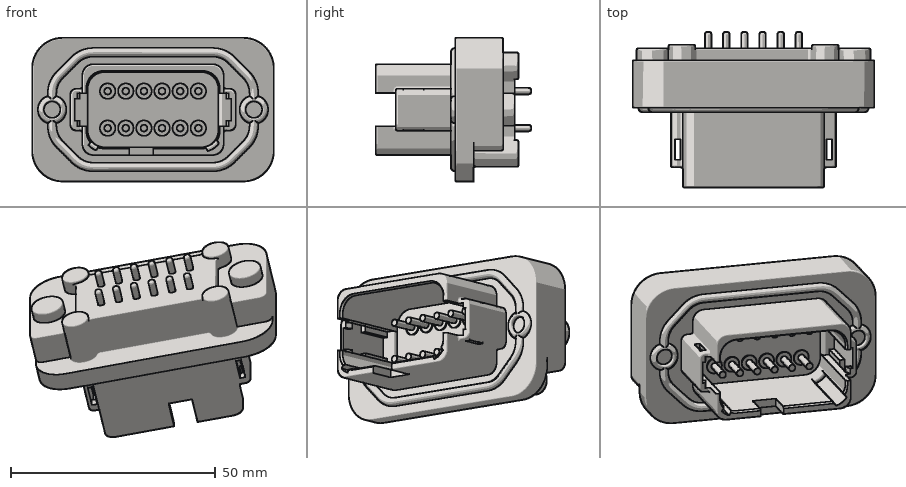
import cadquery as cq
import math

JOINT_MARGIN = 0.005

FLANGE_WIDTH = 59.2
FLANGE_HEIGHT = 35.2
FLANGE_CORNER = 7.5
FLANGE_THICKNESS = 4.5
BODY_DEPTH = 11.7
BODY_BOTTOM = -10.0
BODY_BOTTOM_ROUND = 1.9
FLANGE_EDGE = 0.35

SHROUD_WIDTH = 34.6
SHROUD_HEIGHT = 22.25
SHROUD_LENGTH = 19.5
SHROUD_CORNER = 2.7
SHROUD_EDGE = 0.4
CAVITY_WIDTH = 31.95
CAVITY_HEIGHT = 18.35
CAVITY_CORNER = 4.0
CAVITY_FLOOR = 2.35
LEAD_IN_SETBACK = 0.35
LEAD_IN_LENGTH = 0.7

KEY_SLOT_WIDTH = 5.85
KEY_SLOT_CENTER = -2.9
KEY_SLOT_LENGTH = 6.75

GROOVE_END = -1.9
GROOVE_RADIUS = 5.2
GROOVE_DIRECTION = 55.0
GROOVE_LIP_ROUND = 0.6
LEFT_GROOVE_WIDTH = 2.25
RIGHT_GROOVE_WIDTH = 3.3

EAR_REACH = 20.25
EAR_HEIGHT = 10.3
EAR_LENGTH = 14.55
EAR_CORNER = 1.55
EAR_EDGE = 0.55
EAR_WALL = 1.05
LATCH_OPENING = 8.05
LATCH_RELIEF = 5.3
LATCH_RAIL_X = 17.9
LATCH_RAMP = 0.65
LATCH_SILL = 0.9
LATCH_SILL_ROUND = 0.9
WINDOW_FRONT = -12.65
WINDOW_BACK = -7.7

BEAD_RADIUS = 1.05
BEAD_HALF_HEIGHT = 14.05
BEAD_BEVEL = 7.4
BEAD_BEND = 6.3
RING_RADIUS = 2.4
RING_HOLE_RADIUS = 2.0

HOUSING_BACK = 14.6
HOUSING_EDGE = 0.35
POST_X = 17.5
POST_Z = 10.7
POST_RADIUS = 3.3
POST_BACK = 15.5
POST_BLEND = 1.0
POST_TIP_ROUND = 0.55
POST_FOOT_ROUND = 0.3
SIDE_BOSS_X = 24.7
SIDE_BOSS_RADIUS = 3.95

PIN_COLUMNS = 6
PIN_ROWS = 2
PIN_PITCH_X = 4.45
PIN_PITCH_Z = 9.05
PIN_RADIUS = 0.8
PIN_FRONT = -4.75
PIN_BACK = 18.65
PIN_TIP_ROUND = 0.7
COLLAR_RADIUS = 1.9
COLLAR_HEIGHT = 0.3


def section(y):
    """Workplane at depth y: local x is X, local y is Z, extruding toward -Y."""
    return cq.Workplane("XZ", origin=(0, y, 0))


def box(x_range, y_range, z_range):
    """Axis-aligned box from its limits."""
    size = [high - low for low, high in (x_range, y_range, z_range)]
    corner = (x_range[0], y_range[0], z_range[0])
    return cq.Workplane("XY", origin=corner).box(*size, centered=False)


def rounded_block(width, height, corner, front, back):
    """Rectangular block along Y with rounded long edges."""
    return section(back).rect(width, height).extrude(back - front).edges("|Y").fillet(corner)


def rear_cylinder(x, z, radius, back):
    """Cylinder standing on the flange with a rounded rear rim."""
    cylinder = section(back).center(x, z).circle(radius).extrude(back - FLANGE_THICKNESS / 2)
    return cylinder.faces(">Y").edges().fillet(POST_TIP_ROUND)


def make_flange():
    """Full-height front plate with a thicker body that stops short of the bottom."""
    outline = rounded_block(FLANGE_WIDTH, FLANGE_HEIGHT, FLANGE_CORNER, 0, BODY_DEPTH)
    upper = box(
        (-FLANGE_WIDTH / 2, FLANGE_WIDTH / 2),
        (0, BODY_DEPTH),
        (BODY_BOTTOM, FLANGE_HEIGHT / 2),
    )
    upper = upper.edges("|Y and <Z").fillet(BODY_BOTTOM_ROUND)
    body = outline.intersect(upper).faces(">Y").edges().fillet(FLANGE_EDGE)
    plate = rounded_block(FLANGE_WIDTH, FLANGE_HEIGHT, FLANGE_CORNER, 0, FLANGE_THICKNESS)
    plate = plate.faces("<Y").edges().fillet(FLANGE_EDGE)
    body = body.intersect(box(
        (-FLANGE_WIDTH, FLANGE_WIDTH),
        (FLANGE_THICKNESS / 2, BODY_DEPTH),
        (-FLANGE_HEIGHT, FLANGE_HEIGHT),
    ))
    return plate.union(body)


def make_bead():
    """Half-round sealing bead around the shroud, with a ring at each side."""
    loop = section(0).rect(2 * SIDE_BOSS_X, 2 * BEAD_HALF_HEIGHT).extrude(BEAD_RADIUS)
    loop = loop.edges("|Y").chamfer(BEAD_BEVEL).edges("|Y").fillet(BEAD_BEND)
    path = loop.faces(">Y").wires()
    bead = cq.Workplane("YZ", origin=(0, 0, BEAD_HALF_HEIGHT)).circle(BEAD_RADIUS).sweep(path)
    for x in (-SIDE_BOSS_X, SIDE_BOSS_X):
        torus = cq.Workplane(
            cq.Solid.makeTorus(RING_RADIUS, BEAD_RADIUS, cq.Vector(x, 0, 0), cq.Vector(0, 1, 0)))
        core = section(0).center(x, 0).circle(RING_RADIUS).extrude(BEAD_RADIUS)
        over_core = section(0).center(x, 0).circle(RING_RADIUS).extrude(2 * BEAD_RADIUS)
        hole = section(0).center(x, 0).circle(RING_HOLE_RADIUS).extrude(BEAD_RADIUS)
        rim = core.cut(hole).faces("<Y").edges(cq.selectors.RadiusNthSelector(0))
        rim = rim.fillet(RING_RADIUS - RING_HOLE_RADIUS - JOINT_MARGIN)
        bead = bead.union(torus).cut(over_core).union(rim)
    return bead


def make_shroud():
    """Outer shroud with a latch ear on each side."""
    shroud = rounded_block(
        SHROUD_WIDTH, SHROUD_HEIGHT, SHROUD_CORNER, -SHROUD_LENGTH, FLANGE_THICKNESS / 2)
    shroud = shroud.faces("<Y").edges().fillet(SHROUD_EDGE)
    ears = rounded_block(2 * EAR_REACH, EAR_HEIGHT, EAR_CORNER, -EAR_LENGTH, FLANGE_THICKNESS / 2)
    ears = ears.faces("<Y").edges().fillet(EAR_EDGE)
    shroud = shroud.union(ears)
    for side in (-1, 1):
        wall_x = side * SHROUD_WIDTH / 2
        joint = cq.selectors.BoxSelector(
            (wall_x - JOINT_MARGIN, -EAR_LENGTH - JOINT_MARGIN, -EAR_HEIGHT / 2 - JOINT_MARGIN),
            (wall_x + JOINT_MARGIN, FLANGE_THICKNESS, EAR_HEIGHT / 2 + JOINT_MARGIN),
        )
        shroud = shroud.edges(joint).fillet(EAR_EDGE)
    return shroud


def round_lip(space, middle, radius):
    """Round the single edge whose middle is at the given point."""
    low = tuple(value - JOINT_MARGIN for value in middle)
    high = tuple(value + JOINT_MARGIN for value in middle)
    return space.edges(cq.selectors.BoxSelector(low, high)).fillet(radius)


def make_cavity():
    """Inside of the shroud, with a flared mouth."""
    cavity = rounded_block(
        CAVITY_WIDTH, CAVITY_HEIGHT, CAVITY_CORNER, -SHROUD_LENGTH, CAVITY_FLOOR)
    mouth = cq.Sketch().rect(CAVITY_WIDTH, CAVITY_HEIGHT).vertices().fillet(CAVITY_CORNER)
    flare_angle = math.degrees(math.atan2(LEAD_IN_SETBACK, LEAD_IN_LENGTH))
    flare = section(LEAD_IN_LENGTH - SHROUD_LENGTH).placeSketch(mouth)
    return cavity.union(flare.extrude(LEAD_IN_LENGTH, taper=-flare_angle))


def cut_corner_groove(space, side, width):
    """Add a polarizing groove, from the mouth inward, to a lower corner of the cavity."""
    center_x = side * (CAVITY_WIDTH / 2 - CAVITY_CORNER)
    center_z = CAVITY_CORNER - CAVITY_HEIGHT / 2
    direction = math.radians(GROOVE_DIRECTION)
    length = SHROUD_LENGTH + GROOVE_END
    base = section(GROOVE_END).center(center_x, center_z)
    slab = base.transformed(rotate=(0, 0, -side * GROOVE_DIRECTION))
    slab = slab.center(side * GROOVE_RADIUS / 2, 0).rect(GROOVE_RADIUS, width).extrude(length)
    groove = slab.intersect(base.circle(GROOVE_RADIUS).extrude(length))
    half_angle = math.asin(width / 2 / CAVITY_CORNER)
    lip_radius = CAVITY_CORNER * math.sin(half_angle) / half_angle
    lip_middle = (
        center_x + side * lip_radius * math.cos(direction),
        GROOVE_END,
        center_z - lip_radius * math.sin(direction),
    )
    return round_lip(space.union(groove), lip_middle, GROOVE_LIP_ROUND)


def make_key_slot():
    """Slot in the lower wall, open at the mouth."""
    left = KEY_SLOT_CENTER - KEY_SLOT_WIDTH / 2
    return box(
        (left, left + KEY_SLOT_WIDTH),
        (-SHROUD_LENGTH, KEY_SLOT_LENGTH - SHROUD_LENGTH),
        (-SHROUD_HEIGHT / 2, 0),
    )


def cut_latch_space(space):
    """Open the side walls into the ears, between rails with ramped noses and molding windows."""
    reach = EAR_REACH - EAR_WALL
    half_opening = LATCH_OPENING / 2
    half_relief = LATCH_RELIEF / 2
    depth_range = (-SHROUD_LENGTH, LATCH_SILL)
    space = space.union(box((-LATCH_RAIL_X, LATCH_RAIL_X), depth_range, (-half_opening, half_opening)))
    space = space.union(box((-reach, reach), depth_range, (-half_relief, half_relief)))
    for side in (-1, 1):
        space = round_lip(space, (side * CAVITY_WIDTH / 2, LATCH_SILL, 0), LATCH_SILL_ROUND)
        ramp = (
            cq.Workplane("XY", origin=(0, 0, -half_opening))
            .moveTo(side * LATCH_RAIL_X, -EAR_LENGTH)
            .lineTo(side * (LATCH_RAIL_X + LATCH_RAMP), -EAR_LENGTH)
            .lineTo(side * LATCH_RAIL_X, WINDOW_FRONT)
            .close()
            .extrude(LATCH_OPENING)
        )
        window_x = sorted((side * LATCH_RAIL_X, side * reach))
        window = box(window_x, (WINDOW_FRONT, WINDOW_BACK), (-EAR_HEIGHT / 2, EAR_HEIGHT / 2))
        space = space.union(ramp).union(window)
    return space


def make_rear():
    """Rear housing with a post blended into each corner and a boss at each side."""
    depth = HOUSING_BACK - FLANGE_THICKNESS / 2
    housing = section(HOUSING_BACK).rect(2 * POST_X, 2 * POST_Z).extrude(depth)
    corners = [(x, z) for x in (-POST_X, POST_X) for z in (-POST_Z, POST_Z)]
    housing = housing.union(section(HOUSING_BACK).pushPoints(corners).circle(POST_RADIUS).extrude(depth))
    housing = housing.edges("|Y").fillet(POST_BLEND)
    housing = housing.faces(">Y").edges().fillet(HOUSING_EDGE)
    for x, z in corners:
        housing = housing.union(rear_cylinder(x, z, POST_RADIUS, POST_BACK))
    for x in (-SIDE_BOSS_X, SIDE_BOSS_X):
        housing = housing.union(rear_cylinder(x, 0, SIDE_BOSS_RADIUS, HOUSING_BACK))
    return housing


def make_pins():
    """Two rows of contact pins, each rising from a low collar on the cavity floor."""
    grid = section(PIN_BACK).rarray(PIN_PITCH_X, PIN_PITCH_Z, PIN_COLUMNS, PIN_ROWS)
    pins = grid.circle(PIN_RADIUS).extrude(PIN_BACK - PIN_FRONT)
    pins = pins.faces(">Y").edges().fillet(PIN_TIP_ROUND)
    collars = section(CAVITY_FLOOR).rarray(PIN_PITCH_X, PIN_PITCH_Z, PIN_COLUMNS, PIN_ROWS)
    return pins.union(collars.circle(COLLAR_RADIUS).extrude(COLLAR_HEIGHT))


def make_base():
    """Flange with the rear features, flared where the lower posts meet the thin plate."""
    base = make_flange().union(make_rear())
    foot = cq.selectors.BoxSelector(
        (-POST_X - POST_RADIUS, FLANGE_THICKNESS - JOINT_MARGIN, -POST_Z - POST_RADIUS),
        (POST_X + POST_RADIUS, FLANGE_THICKNESS + JOINT_MARGIN, BODY_BOTTOM - JOINT_MARGIN),
    )
    return base.edges(foot).fillet(POST_FOOT_ROUND)


def make_inside():
    """Everything removed from inside the shroud."""
    inside = cut_corner_groove(make_cavity(), -1, LEFT_GROOVE_WIDTH)
    inside = cut_corner_groove(inside, 1, RIGHT_GROOVE_WIDTH)
    return cut_latch_space(inside).union(make_key_slot())


result = (
    make_base()
    .union(make_bead())
    .union(make_shroud())
    .cut(make_inside())
    .union(make_pins())
)